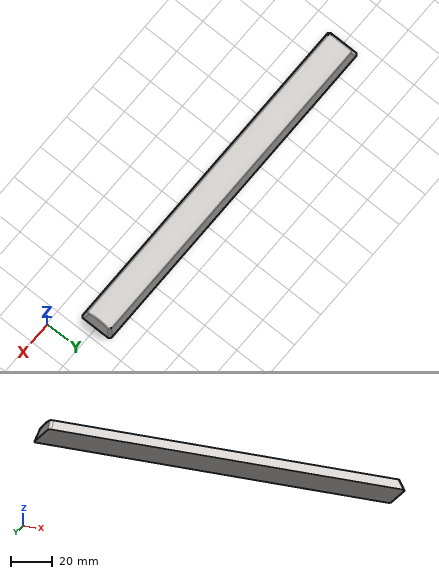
import cadquery as cq
import math

length = 189.75
width = 18.3
height = 7.2
draft_angle = 18.0
corner_radius = 1.5
crown_radius = 21.5
top_edge_radius = 0.6


def drafted_body():
    """Rounded rectangle that tapers inward from base to crest height."""
    top_inset = height * math.tan(math.radians(draft_angle))
    base = cq.Workplane("XY").rect(length, width)
    body = (
        base.workplane(offset=height)
        .rect(length - 2 * top_inset, width - 2 * top_inset)
        .loft(ruled=True)
    )
    upright_corners = body.edges("not(#Z or |X or |Y)")
    return upright_corners.fillet(corner_radius)


def crown_envelope():
    """Cylinder along X whose upper surface forms the crowned top."""
    return (
        cq.Workplane("YZ")
        .center(0, height - crown_radius)
        .circle(crown_radius)
        .extrude(length / 2, both=True)
    )


def soften_rim(body):
    """Round the edges where the crown meets the walls."""
    return body.faces(">Z").edges().fillet(top_edge_radius)


result = soften_rim(drafted_body().intersect(crown_envelope()))